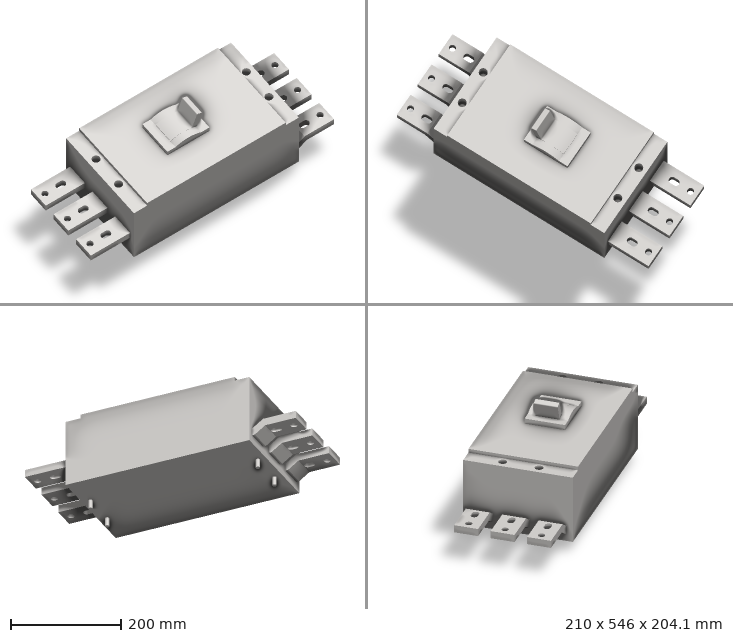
import cadquery as cq
import math


housing_width = 210.0
housing_length = 370.0
housing_height = 141.0
end_step_length = 29.5
end_step_height = 7.5

overall_length = 546.0
pole_pitch = 70.0
pole_positions = (-pole_pitch, 0.0, pole_pitch)
terminal_width = 46.0
terminal_thickness = 15.0
front_terminal_bottom = 46.0
rear_terminal_bottom = front_terminal_bottom - terminal_thickness
rear_flat_length = 66.0
rear_root_bottom = 17.0
rear_bend_slope = 34.0
terminal_embedment = 11.0
terminal_hole_diameter = 13.0
terminal_hole_inset = 15.0
terminal_slot_length = 21.5
terminal_slot_inset = 50.0

cap_width = 77.5
cap_length = 94.5
cap_center_y = -15.0
cap_ledge_height = 10.5
cap_arc_chord = 58.0
cap_arc_rise = 6.5

lever_width = terminal_width
drum_end_rise = 1.35
lever_tilt = 20.0
lever_thickness = 12.0
lever_top = 46.5
lever_front_y = 16.5
lever_tip_radius = 1.5
lever_root_radius = 3.0

screw_x = pole_pitch / 2
screw_y = 168.5
screw_diameter = 8.0
screw_projection = 17.0
head_diameter = 16.5
head_flat_diameter = 5.5
head_rim_height = 3.0
head_dome_height = 6.5
head_seat_depth = 33.0

half_length = housing_length / 2
half_overall = overall_length / 2
terminal_root_y = half_length - terminal_embedment
step_floor = housing_height - end_step_height
ledge_z = housing_height + cap_ledge_height
crown_z = ledge_z + cap_arc_rise
head_seat = step_floor - head_seat_depth
screw_places = [(x, y) for x in (-screw_x, screw_x) for y in (-screw_y, screw_y)]


def side_extrusion(outline, width):
    """Extrude a closed Y-Z outline by a width centred on X = 0."""
    return outline.close().extrude(width / 2, both=True)


def side_plane():
    """Workplane with local x along Y and local y along Z."""
    return cq.Workplane("YZ")


def make_housing_block():
    """Block with a lowered step at each end."""
    panel_end = half_length - end_step_length
    outline = (
        side_plane()
        .moveTo(-half_length, 0)
        .lineTo(half_length, 0)
        .lineTo(half_length, step_floor)
        .lineTo(panel_end, step_floor)
        .lineTo(panel_end, housing_height)
        .lineTo(-panel_end, housing_height)
        .lineTo(-panel_end, step_floor)
        .lineTo(-half_length, step_floor)
    )
    return side_extrusion(outline, housing_width)


def drill_terminal(terminal, end_direction):
    """Cut the round hole and the slot near a terminal's outer end."""
    hole_y = end_direction * (half_overall - terminal_hole_inset)
    slot_y = end_direction * (half_overall - terminal_slot_inset)
    hole = (
        cq.Workplane("XY", origin=(0, hole_y, 0))
        .circle(terminal_hole_diameter / 2)
        .extrude(housing_height)
    )
    slot = (
        cq.Workplane("XY", origin=(0, slot_y, 0))
        .slot2D(terminal_slot_length, terminal_hole_diameter, 90)
        .extrude(housing_height)
    )
    return terminal.cut(hole).cut(slot)


def make_front_terminal():
    """Straight bar that stands out of the -Y end."""
    outline = (
        side_plane()
        .moveTo(-terminal_root_y, front_terminal_bottom)
        .lineTo(-half_overall, front_terminal_bottom)
        .lineTo(-half_overall, front_terminal_bottom + terminal_thickness)
        .lineTo(-terminal_root_y, front_terminal_bottom + terminal_thickness)
    )
    return drill_terminal(side_extrusion(outline, terminal_width), -1)


def make_rear_terminal():
    """Bar that leaves the +Y end low and bends up to a higher flat."""
    slope = math.radians(rear_bend_slope)
    bend_drop = rear_terminal_bottom - rear_root_bottom
    bend_length = bend_drop / math.tan(slope)
    bottom_offset = terminal_thickness * math.tan(slope / 2)
    top_bend_y = half_overall - rear_flat_length
    bottom_bend_y = top_bend_y + bottom_offset
    outline = (
        side_plane()
        .moveTo(half_overall, rear_terminal_bottom)
        .lineTo(half_overall, rear_terminal_bottom + terminal_thickness)
        .lineTo(top_bend_y, rear_terminal_bottom + terminal_thickness)
        .lineTo(top_bend_y - bend_length, rear_root_bottom + terminal_thickness)
        .lineTo(terminal_root_y, rear_root_bottom + terminal_thickness)
        .lineTo(terminal_root_y, rear_root_bottom)
        .lineTo(bottom_bend_y - bend_length, rear_root_bottom)
        .lineTo(bottom_bend_y, rear_terminal_bottom)
    )
    return drill_terminal(side_extrusion(outline, terminal_width), 1)


def make_hump(ends_z, width):
    """Arched hump from the housing top to the cap's crown, with its ends at a given height."""
    half_chord = cap_arc_chord / 2
    front_y = cap_center_y - half_chord
    rear_y = cap_center_y + half_chord
    outline = (
        side_plane()
        .moveTo(front_y, housing_height)
        .lineTo(front_y, ends_z)
        .threePointArc((cap_center_y, crown_z), (rear_y, ends_z))
        .lineTo(rear_y, housing_height)
    )
    return side_extrusion(outline, width)


def make_cap():
    """Raised rectangular cap with an arched hump."""
    ledge = (
        cq.Workplane("XY", origin=(0, cap_center_y, housing_height))
        .rect(cap_width, cap_length)
        .extrude(cap_ledge_height)
    )
    return ledge.union(make_hump(ledge_z, cap_width))


def make_lever():
    """Toggle lever leaning towards +Y, rounded at its tip and where its front leaves the drum."""
    drum = make_hump(ledge_z + drum_end_rise, lever_width)
    tilt = math.radians(lever_tilt)
    blade_length = lever_top / math.cos(tilt)
    blade = (
        cq.Workplane("XY", origin=(0, lever_thickness / 2, -blade_length))
        .rect(lever_width, lever_thickness)
        .extrude(blade_length)
        .edges("|X and >Z")
        .fillet(lever_tip_radius)
        .rotate((0, 0, 0), (1, 0, 0), -lever_tilt)
        .translate((0, lever_front_y, housing_height + lever_top))
    )
    crown_drop = housing_height + lever_top - crown_z
    root_point = (0, lever_front_y - crown_drop * math.tan(tilt), crown_z)
    root_edge = cq.selectors.NearestToPointSelector(root_point)
    return drum.union(blade).edges("|X").edges(root_edge).fillet(lever_root_radius)


def make_housing():
    """Housing with its terminals, cap and lever, and a stepped hole for each screw."""
    housing = make_housing_block()
    for x in pole_positions:
        housing = housing.union(make_front_terminal().translate((x, 0, 0)))
        housing = housing.union(make_rear_terminal().translate((x, 0, 0)))
    housing = housing.union(make_cap()).union(make_lever())
    shank_holes = (
        cq.Workplane("XY").pushPoints(screw_places).circle(screw_diameter / 2).extrude(step_floor)
    )
    head_holes = (
        cq.Workplane("XY", origin=(0, 0, head_seat))
        .pushPoints(screw_places)
        .circle(head_diameter / 2)
        .extrude(head_seat_depth)
    )
    return housing.cut(shank_holes).cut(head_holes)


def make_screw(x, y):
    """Domed screw with a small flat on its head, projecting below the housing."""
    head_radius = head_diameter / 2
    flat_radius = head_flat_diameter / 2
    rim_z = head_seat + head_rim_height
    top_z = rim_z + head_dome_height
    center_above_rim = (head_dome_height**2 + flat_radius**2 - head_radius**2) / (2 * head_dome_height)
    sphere_radius = math.hypot(head_radius, center_above_rim)
    mid_rise = head_dome_height / 2
    mid_radius = math.sqrt(sphere_radius**2 - (mid_rise - center_above_rim) ** 2)
    profile = (
        cq.Workplane("XZ")
        .moveTo(0, -screw_projection)
        .lineTo(screw_diameter / 2, -screw_projection)
        .lineTo(screw_diameter / 2, head_seat)
        .lineTo(head_radius, head_seat)
        .lineTo(head_radius, rim_z)
        .threePointArc((mid_radius, rim_z + mid_rise), (flat_radius, top_z))
        .lineTo(0, top_z)
        .close()
    )
    return profile.revolve(360, (0, 0, 0), (0, 1, 0)).translate((x, y, 0))


housing = make_housing()
screws = [make_screw(x, y) for x, y in screw_places]

result = cq.Compound.makeCompound([housing.val(), *[screw.val() for screw in screws]])